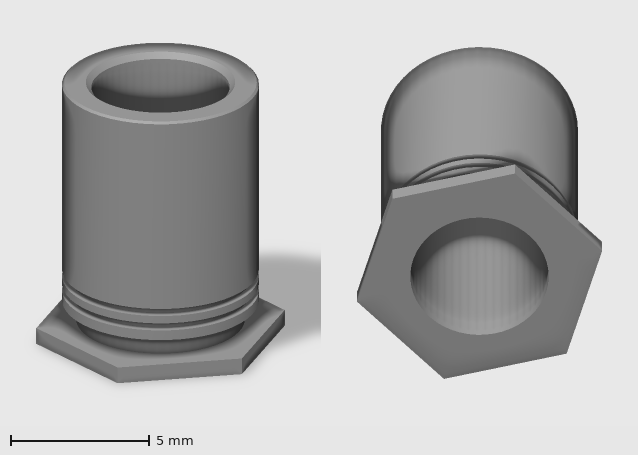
import cadquery as cq
import math

TOTAL_HEIGHT = 10.0

HEX_SIDES = 6
HEX_ACROSS_FLATS = 7.9
HEX_ACROSS_CORNERS = HEX_ACROSS_FLATS / math.cos(math.pi / HEX_SIDES)
HEX_THICKNESS = 0.62

NECK_DIAMETER = 6.1
NECK_TOP = 1.38

BARREL_DIAMETER = 7.12
BARREL_EDGE_CHAMFER = 0.08

GROOVE_DIAMETER = 6.61
GROOVE_WIDTH = 0.28
GROOVE_PITCH = 0.57
GROOVE_COUNT = 2
FIRST_GROOVE_BOTTOM = 1.76

BORE_DIAMETER = 5.0
BORE_MOUTH_DIAMETER = 5.4

BORE_CHAMFER = (BORE_MOUTH_DIAMETER - BORE_DIAMETER) / 2


def cylinder(diameter, bottom, top):
    """Solid cylinder on the Z axis between two heights."""
    return cq.Workplane("XY").workplane(offset=bottom).circle(diameter / 2).extrude(top - bottom)


def hex_head():
    """Hexagonal base plate with two corners on the X axis."""
    return cq.Workplane("XY").polygon(HEX_SIDES, HEX_ACROSS_CORNERS).extrude(HEX_THICKNESS)


def barrel():
    """Round barrel with a chamfered top edge and ring grooves near its lower end."""
    body = cylinder(BARREL_DIAMETER, NECK_TOP, TOTAL_HEIGHT)
    body = body.faces(">Z").edges().chamfer(BARREL_EDGE_CHAMFER)
    for index in range(GROOVE_COUNT):
        bottom = FIRST_GROOVE_BOTTOM + index * GROOVE_PITCH
        top = bottom + GROOVE_WIDTH
        ring = cylinder(BARREL_DIAMETER, bottom, top).cut(cylinder(GROOVE_DIAMETER, bottom, top))
        body = body.cut(ring)
    return body


def bore():
    """Through bore with a 45 degree countersink at the top."""
    hole = cylinder(BORE_DIAMETER, 0, TOTAL_HEIGHT)
    mouth = (
        cq.Workplane("XY")
        .workplane(offset=TOTAL_HEIGHT)
        .circle(BORE_MOUTH_DIAMETER / 2)
        .workplane(offset=-BORE_CHAMFER)
        .circle(BORE_DIAMETER / 2)
        .loft()
    )
    return hole.union(mouth)


neck = cylinder(NECK_DIAMETER, HEX_THICKNESS, NECK_TOP)
result = hex_head().union(neck).union(barrel()).cut(bore())